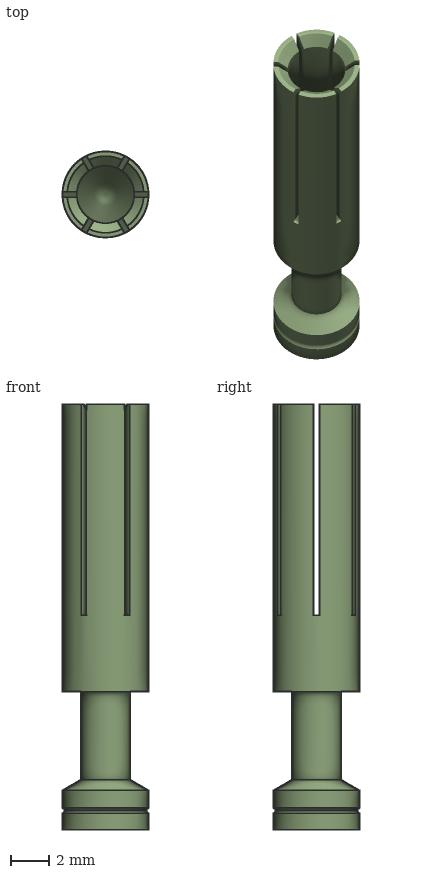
import cadquery as cq
import math

full_turn = 360.0

total_length = 22.2
outer_radius = 2.25

head_height = 2.05
groove_center_z = 1.0
groove_width = 0.3
groove_depth = 0.15
head_cone_angle = 30.0

neck_radius = 1.3
sleeve_bottom_z = 7.2

bore_radius = 1.5
bore_depth = 11.0
drill_point_angle = 118.0
mouth_radius = 2.0
mouth_depth = 0.5

slot_count = 6
slot_width = 0.3
slot_depth = bore_depth


def make_body():
    """Solid of revolution about Z: grooved head, neck and sleeve."""
    cone_height = (outer_radius - neck_radius) * math.tan(math.radians(head_cone_angle))
    neck_bottom_z = head_height + cone_height
    profile = (
        cq.Workplane("XZ")
        .moveTo(0, 0)
        .lineTo(outer_radius, 0)
        .lineTo(outer_radius, groove_center_z - groove_width / 2)
        .lineTo(outer_radius - groove_depth, groove_center_z)
        .lineTo(outer_radius, groove_center_z + groove_width / 2)
        .lineTo(outer_radius, head_height)
        .lineTo(neck_radius, neck_bottom_z)
        .lineTo(neck_radius, sleeve_bottom_z)
        .lineTo(outer_radius, sleeve_bottom_z)
        .lineTo(outer_radius, total_length)
        .lineTo(0, total_length)
        .close()
    )
    return profile.revolve(full_turn, (0, 0, 0), (0, 1, 0))


def make_bore():
    """Volume removed by the bore, its drill point and its conical mouth."""
    bore_bottom_z = total_length - bore_depth
    point_height = bore_radius / math.tan(math.radians(drill_point_angle / 2))
    profile = (
        cq.Workplane("XZ")
        .moveTo(0, bore_bottom_z - point_height)
        .lineTo(bore_radius, bore_bottom_z)
        .lineTo(bore_radius, total_length - mouth_depth)
        .lineTo(mouth_radius, total_length)
        .lineTo(0, total_length)
        .close()
    )
    return profile.revolve(full_turn, (0, 0, 0), (0, 1, 0))


def make_slot(angle):
    """Radial slot through one side of the sleeve wall, open at the top."""
    slot = cq.Workplane("XY").box(
        2 * outer_radius, slot_width, slot_depth, centered=(False, True, False)
    )
    slot = slot.translate((0, 0, total_length - slot_depth))
    return slot.rotate((0, 0, 0), (0, 0, 1), angle)


result = make_body().cut(make_bore())
for slot_index in range(slot_count):
    result = result.cut(make_slot(slot_index * full_turn / slot_count))